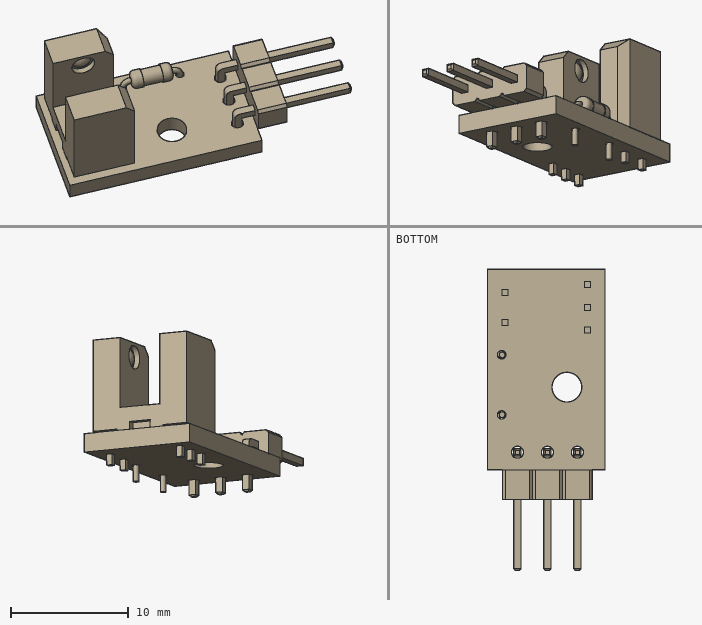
import cadquery as cq


board_width = 10.0
board_length = 17.0
board_thickness = 1.6
mount_hole_diameter = 2.5
mount_hole_x = 1.75
mount_hole_y = 10.0
tail_length = 1.4

pitch = 2.54
pin_count = 3
header_x = 0.1
header_pins_x = [header_x + (i - (pin_count - 1) / 2) * pitch for i in range(pin_count)]
pin_size = 0.64
pin_hole_diameter = 1.0
pin_chamfer = 0.15
pin_bend_radius = 0.5
pin_reach = 6.0
pin_inset = 1.48
pin_leg_y = board_length - pin_inset
block_chamfer = 0.25
block_front_y = board_length
block_back_y = block_front_y + pitch
pin_axis_z = board_thickness + pitch / 2

lead_diameter = 0.5
lead_hole_diameter = 0.7
lead_hole_x = -3.78
lead_span = 2 * pitch
cap_diameter = 1.6
cap_length = 0.94
cap_fillet = 0.4
waist_diameter = 1.44
resistor_length = 3.62
resistor_x = -3.74
resistor_y = 9.80
resistor_axis_z = board_thickness + cap_diameter / 2
lead_bend_radius = 0.74
leads_y = [resistor_y - lead_span / 2, resistor_y + lead_span / 2]

sensor_width = 8.87
sensor_depth = 5.35
sensor_front_y = 0.56
sensor_mid_y = sensor_front_y + sensor_depth / 2
sensor_back_y = sensor_front_y + sensor_depth
sensor_top_z = 9.73
standoff = 0.24
foot_width = 4.38
slot_width = 3.76
bridge_height = 2.08
slot_floor_z = board_thickness + bridge_height
bridge_setback = 0.08
notch_width = 1.95
notch_height = 0.79
notch_depth = 0.6
sensor_chamfer = 0.74
window_diameter = 2.0
window_depth = 0.5
window_drop = 1.25
window_z = sensor_top_z - window_drop
lens_diameter = 1.6
lens_height = 0.4
sensor_lead_size = 0.5
sensor_lead_x = 3.49
sensor_lead_bottom_z = -0.93
left_lead_pitch = pitch
right_lead_pitch = 1.92
left_leads = [(-sensor_lead_x, sensor_mid_y + s * left_lead_pitch / 2) for s in (-1, 1)]
right_leads = [(sensor_lead_x, sensor_mid_y + s * right_lead_pitch) for s in (-1, 0, 1)]
sensor_leads = left_leads + right_leads


def box(x_range, y_range, z_range):
    """Box between two limits on each axis."""
    lows, highs = zip(x_range, y_range, z_range)
    sizes = [high - low for low, high in zip(lows, highs)]
    return cq.Workplane("XY").box(*sizes, centered=False).translate(lows)


def make_board():
    """Plain board with a mounting hole and openings for every pin and lead."""
    board = box((-board_width / 2, board_width / 2), (0, board_length), (0, board_thickness))

    def drill(points, diameter):
        return cq.Workplane("XY").pushPoints(points).circle(diameter / 2).extrude(board_thickness)

    board = board.cut(drill([(mount_hole_x, mount_hole_y)], mount_hole_diameter))
    board = board.cut(drill([(x, pin_leg_y) for x in header_pins_x], pin_hole_diameter))
    board = board.cut(drill([(lead_hole_x, y) for y in leads_y], lead_hole_diameter))
    lead_slots = (
        cq.Workplane("XY")
        .pushPoints(sensor_leads)
        .rect(sensor_lead_size, sensor_lead_size)
        .extrude(board_thickness)
    )
    return board.cut(lead_slots)


def make_header_pin(x):
    """Square pin: straight to the rear, bent down through the board, both tips chamfered."""
    half = pin_size / 2
    leg_front_y = pin_leg_y - half
    leg_back_y = pin_leg_y + half
    top_z = pin_axis_z + half
    tip_y = block_back_y + pin_reach
    pin = (
        cq.Workplane("YZ")
        .moveTo(leg_front_y, -tail_length)
        .lineTo(leg_front_y, top_z - pin_bend_radius)
        .radiusArc((leg_front_y + pin_bend_radius, top_z), pin_bend_radius)
        .lineTo(tip_y, top_z)
        .lineTo(tip_y, top_z - pin_size)
        .lineTo(leg_back_y, top_z - pin_size)
        .lineTo(leg_back_y, -tail_length)
        .close()
        .extrude(half, both=True)
    )
    pin = pin.faces("<Z").chamfer(pin_chamfer)
    pin = pin.faces(">Y").chamfer(pin_chamfer)
    return pin.translate((x, 0, 0))


def make_header():
    """Row of octagonal blocks, each carrying one pin."""
    header = None
    for x in header_pins_x:
        block = box(
            (x - pitch / 2, x + pitch / 2),
            (block_front_y, block_back_y),
            (board_thickness, board_thickness + pitch),
        )
        block = block.edges("|Y").chamfer(block_chamfer).union(make_header_pin(x))
        header = block if header is None else header.union(block)
    return header


def make_resistor():
    """Turned body with two thicker, rounded end caps and a bent wire lead."""
    half_length = resistor_length / 2
    half_waist = half_length - cap_length
    waist = (
        cq.Workplane("XZ", origin=(0, half_waist, 0))
        .circle(waist_diameter / 2)
        .extrude(2 * half_waist)
    )
    cap = (
        cq.Workplane("XZ", origin=(0, half_length, 0))
        .circle(cap_diameter / 2)
        .extrude(cap_length)
        .faces(">Y")
        .edges()
        .fillet(cap_fillet)
    )
    body = waist.union(cap).union(cap.mirror("XZ"))
    body = body.translate((resistor_x, resistor_y, resistor_axis_z))

    wire = (
        cq.Workplane("YZ", origin=(resistor_x, 0, 0))
        .moveTo(leads_y[0], -tail_length)
        .lineTo(leads_y[0], resistor_axis_z - lead_bend_radius)
        .radiusArc((leads_y[0] + lead_bend_radius, resistor_axis_z), lead_bend_radius)
        .lineTo(leads_y[1] - lead_bend_radius, resistor_axis_z)
        .radiusArc((leads_y[1], resistor_axis_z - lead_bend_radius), lead_bend_radius)
        .lineTo(leads_y[1], -tail_length)
    )
    lead = (
        cq.Workplane("XY", origin=(resistor_x, leads_y[0], -tail_length))
        .circle(lead_diameter / 2)
        .sweep(wire)
    )
    return body.union(lead)


def make_window_cutter():
    """Round window in the right arm's inner face, less the domed lens on its floor."""
    sphere_radius = (lens_diameter**2 / 4 + lens_height**2) / (2 * lens_height)
    floor_x = slot_width / 2 + window_depth
    window = (
        cq.Workplane("YZ", origin=(slot_width / 2, sensor_mid_y, window_z))
        .circle(window_diameter / 2)
        .extrude(window_depth)
    )
    lens = cq.Workplane("XY").sphere(sphere_radius).translate(
        (floor_x - lens_height + sphere_radius, sensor_mid_y, window_z)
    )
    return window.cut(lens)


def make_sensor():
    """U-shaped housing on a raised foot, with lens windows facing the slot and five leads."""
    half_width = sensor_width / 2
    arm_bottom_z = board_thickness + standoff
    arm = box(
        (slot_width / 2, half_width),
        (sensor_front_y, sensor_back_y),
        (arm_bottom_z, sensor_top_z),
    )
    arm = arm.faces(">Z").edges(">Y").chamfer(sensor_chamfer)
    left_arm = arm.mirror("YZ").edges("|Z and <X and >Y").chamfer(sensor_chamfer)
    bridge_back_y = sensor_back_y - bridge_setback
    bridge = box(
        (-slot_width / 2, slot_width / 2),
        (sensor_front_y, bridge_back_y),
        (board_thickness, slot_floor_z),
    )
    foot = box(
        (-foot_width / 2, foot_width / 2),
        (sensor_front_y, bridge_back_y),
        (board_thickness, arm_bottom_z),
    )
    sensor = bridge.union(foot).union(arm).union(left_arm)

    notch = box(
        (-notch_width / 2, notch_width / 2),
        (sensor_front_y, sensor_front_y + notch_depth),
        (board_thickness, board_thickness + notch_height),
    )
    window = make_window_cutter()
    sensor = sensor.cut(notch).cut(window).cut(window.mirror("YZ"))

    leads = (
        cq.Workplane("XY", origin=(0, 0, sensor_lead_bottom_z))
        .pushPoints(sensor_leads)
        .rect(sensor_lead_size, sensor_lead_size)
        .extrude(arm_bottom_z - sensor_lead_bottom_z)
    )
    return sensor.union(leads)


board = make_board()
header = make_header()
resistor = make_resistor()
sensor = make_sensor()

result = cq.Compound.makeCompound([board.val(), header.val(), resistor.val(), sensor.val()])